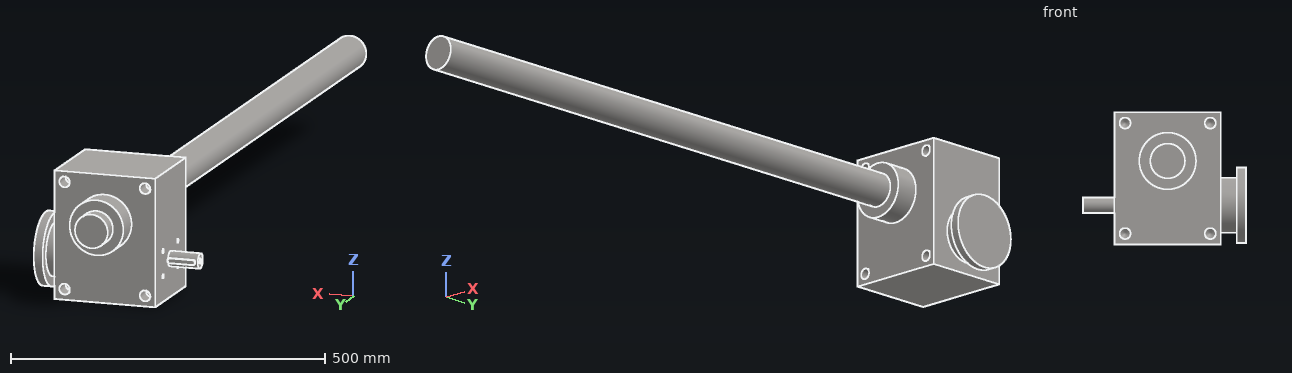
import cadquery as cq
import math


housing_x = 170.0
housing_y = 149.0
housing_z = 211.0
housing_top = 78.0
housing_bottom = housing_top - housing_z

collar_diameter = 90.0
collar_length = 40.0

mount_diameter = 18.0
mount_depth = 30.0
mount_spacing_x = 135.0
mount_spacing_z = 176.0
mount_middle_z = (housing_top + housing_bottom) / 2
drill_tip_angle = 118

shaft_diameter = 25.0
shaft_z = -70.0
shaft_reach = 50.0
centre_hole_diameter = 8.0
centre_hole_depth = 19.0

screw_hole_diameter = 6.7
screw_hole_depth = 15.0
screw_spacing_y = 72.0
screw_spacing_z = 41.0

key_width = 8.0
key_height = 8.0
key_rise = 3.0
key_inset = 4.0
key_length = shaft_reach - key_inset

hub_diameter = 88.0
hub_length = 25.0
flange_diameter = 120.0
flange_thickness = 15.0

spindle_diameter = 55.0
spindle_length = 1255.0
spindle_tail = 25.0

left_face = -housing_x / 2
right_face = housing_x / 2
collar_end = housing_y / 2 + collar_length
shaft_end = left_face - shaft_reach


def rod_x(diameter, start, length):
    """Cylinder on the worm axis, running towards +X."""
    return cq.Workplane("YZ", origin=(start, 0, shaft_z)).circle(diameter / 2).extrude(length)


def rod_y(diameter, start, length):
    """Cylinder on the spindle axis, running towards +Y."""
    return cq.Workplane("XZ", origin=(0, start, 0)).circle(diameter / 2).extrude(-length)


def mount_holes():
    """Blind holes with drill-point bottoms, going into both the front and the back of the housing."""
    radius = mount_diameter / 2
    tip_end = mount_depth + radius / math.tan(math.radians(drill_tip_angle / 2))
    hole = (
        cq.Workplane("XY", origin=(0, -housing_y / 2, 0))
        .polyline([(0, 0), (radius, 0), (radius, mount_depth), (0, tip_end)])
        .close()
        .revolve(360, (0, 0), (0, 1))
    )
    holes = cq.Workplane("XY")
    for x in (-mount_spacing_x / 2, mount_spacing_x / 2):
        for z in (-mount_spacing_z / 2, mount_spacing_z / 2):
            front_hole = hole.translate((x, 0, mount_middle_z + z))
            holes = holes.add(front_hole).add(front_hole.mirror("XZ"))
    return holes.combine()


def screw_holes():
    """Blind holes around the worm shaft, in the left face of the housing."""
    return (
        cq.Workplane("YZ", origin=(left_face, 0, shaft_z))
        .rect(screw_spacing_y, screw_spacing_z, forConstruction=True)
        .vertices()
        .circle(screw_hole_diameter / 2)
        .extrude(screw_hole_depth)
    )


def make_housing():
    block = cq.Workplane("XY", origin=(0, 0, housing_bottom)).box(
        housing_x, housing_y, housing_z, centered=(True, True, False)
    )
    collars = rod_y(collar_diameter, -collar_end, 2 * collar_end)
    spindle_bore = rod_y(spindle_diameter, -collar_end, 2 * collar_end)
    shaft_bore = rod_x(shaft_diameter, left_face, housing_x)
    body = block.union(collars).cut(spindle_bore).cut(shaft_bore)
    return body.cut(mount_holes()).cut(screw_holes())


def make_flange():
    hub = rod_x(hub_diameter, right_face, hub_length)
    disc = rod_x(flange_diameter, right_face + hub_length, flange_thickness)
    return hub.union(disc)


def key_bar():
    """Key on the back side of the worm shaft, from near the shaft end to the housing."""
    key_top = shaft_diameter / 2 + key_rise
    key_middle = left_face - key_length / 2
    return (
        cq.Workplane("XZ", origin=(key_middle, key_top, shaft_z))
        .slot2D(key_length, key_width)
        .extrude(key_height)
    )


def make_shaft():
    shaft = rod_x(shaft_diameter, shaft_end, right_face - shaft_end)
    centre_hole = rod_x(centre_hole_diameter, shaft_end, centre_hole_depth)
    return shaft.cut(centre_hole).union(key_bar())


def make_spindle():
    return rod_y(spindle_diameter, collar_end + spindle_tail - spindle_length, spindle_length)


housing = make_housing()
flange = make_flange()
shaft = make_shaft()
spindle = make_spindle()

result = cq.Compound.makeCompound([housing.val(), spindle.val(), shaft.val(), flange.val()])